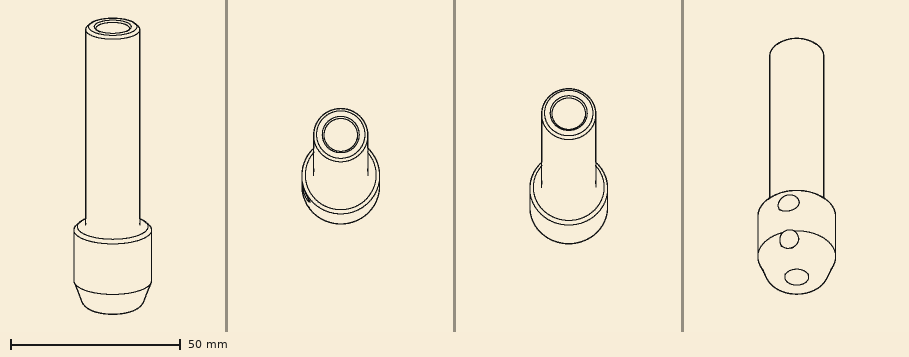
import cadquery as cq
import math

total_height = 88.0
head_radius = 11.48
head_height = 25.0
head_chamfer = 1.1
shank_radius = 8.0
shank_chamfer = 0.9
root_fillet = 0.5

taper_height = 8.0
taper_angle = math.radians(20)
nose_fillet = 3.1

bore_radius = 4.9
bore_mouth_chamfer = 0.5
outlet_radius = 3.5
seat_height = head_height
seat_half_angle = math.radians(59)
seat_depth = (bore_radius - outlet_radius) / math.tan(seat_half_angle)

side_holes = [(19.3, 3.2), (5.8, 2.8)]


def make_outer_body():
    """Revolved shank, head and nose, without the holes."""
    arc_start_height = nose_fillet * (1 - math.sin(taper_angle))
    arc_start_radius = head_radius - (taper_height - arc_start_height) * math.tan(taper_angle)
    arc_center_radius = arc_start_radius - nose_fillet * math.cos(taper_angle)
    mid_angle = (math.pi / 2 + taper_angle) / 2
    arc_middle = (
        arc_center_radius + nose_fillet * math.cos(mid_angle),
        nose_fillet * (1 - math.sin(mid_angle)),
    )
    root_middle = (
        shank_radius + root_fillet * (1 - math.sqrt(0.5)),
        head_height + root_fillet * (1 - math.sqrt(0.5)),
    )
    return (
        cq.Workplane("XZ")
        .lineTo(arc_center_radius, 0)
        .threePointArc(arc_middle, (arc_start_radius, arc_start_height))
        .lineTo(head_radius, taper_height)
        .lineTo(head_radius, head_height - head_chamfer)
        .lineTo(head_radius - head_chamfer, head_height)
        .lineTo(shank_radius + root_fillet, head_height)
        .threePointArc(root_middle, (shank_radius, head_height + root_fillet))
        .lineTo(shank_radius, total_height - shank_chamfer)
        .lineTo(shank_radius - shank_chamfer, total_height)
        .lineTo(0, total_height)
        .close()
        .revolve(360, (0, 0), (0, 1))
    )


def make_bore():
    """Revolved cutter: outlet, conical seat, bore and chamfered mouth."""
    return (
        cq.Workplane("XZ")
        .lineTo(outlet_radius, 0)
        .lineTo(outlet_radius, seat_height - seat_depth)
        .lineTo(bore_radius, seat_height)
        .lineTo(bore_radius, total_height - bore_mouth_chamfer)
        .lineTo(bore_radius + bore_mouth_chamfer, total_height)
        .lineTo(0, total_height)
        .close()
        .revolve(360, (0, 0), (0, 1))
    )


def make_side_hole(height, radius):
    """Cutter running from the pin axis out through the +Y side."""
    return cq.Workplane(
        cq.Solid.makeCylinder(radius, head_radius, cq.Vector(0, 0, height), cq.Vector(0, 1, 0))
    )


pin = make_outer_body().cut(make_bore())
for hole_height, hole_radius in side_holes:
    pin = pin.cut(make_side_hole(hole_height, hole_radius))

result = cq.Compound.makeCompound([pin.val()])